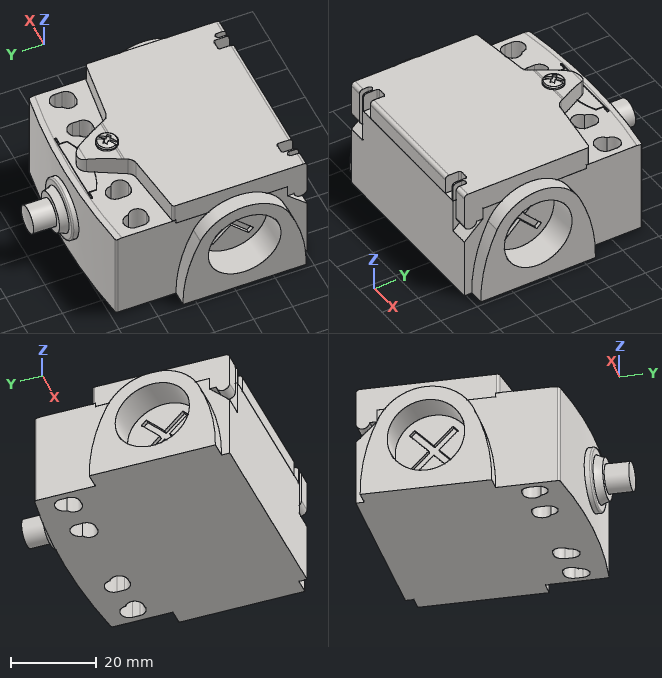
import cadquery as cq
import math


HALF_WIDTH = 25.0
REAR_CORNER_Y = 49.0
REAR_MIDDLE_Y = 51.0
REAR_CORNER_RADIUS = 0.6
DECK_Z = 25.0
REAR_BEVEL_DEPTH = 1.5
REAR_BEVEL_DROP = 0.25

HOLE_DIAMETER = 4.4
HOLE_POSITIONS_X = (11.05, 21.1)
HOLE_Y = 41.2
HOLE_RISE = 1.85
HOLE_SHIFT = 1.1

RECESS_DEPTH = 0.2
RECESS_BAR_HALF = 10.45
RECESS_HALF = 8.45
RECESS_BACK_Y = 48.85
RECESS_BAR_Y = 48.45
RECESS_SIDE_Y = 46.55
RECESS_FRONT_Y = 44.4

BOSS_LENGTH = 4.0
BOSS_Y = 17.85
BOSS_HALF_BASE = 15.8
BORE_Z = 13.8
BORE_RADIUS = 9.3
BORE_DEPTH = 8.0
BOSS_TOP_RADIUS = 12.8
BOSS_TOP_END_ANGLE = math.radians(27.6)
BOSS_FLANK_HALF = 14.6
BOSS_FLANK_Z = 10.7
CROSS_LENGTH = 14.7
CROSS_WIDTH = 1.75
CROSS_DEPTH = 1.0

PLUNGER_Z = 12.55
PLUNGER_RADIUS = 3.6
PLUNGER_SHOULDER_Y = 60.5
PLUNGER_TIP_Y = 60.94
FLANGE_RADIUS = 7.8
FLANGE_ROOT_Y = 50.0
FLANGE_Y = 52.5
FLANGE_FILLET = 0.4
BOOT_BASE_RADIUS = 5.95
BOOT_MIDDLE = (5.5, 53.5)
BOOT_END_RADIUS = 5.2
BOOT_END_Y = 54.6

COVER_Z = 30.0
COVER_FRONT_FILLET = 1.0
COVER_SIDE_Y = 34.45
COVER_INNER_X = 7.45
COVER_INNER_Y = 36.7
COVER_CORNER_RADIUS = 0.7
COVER_INNER_RADIUS = 2.5
TONGUE_TIP_RADIUS = 2.6
TONGUE_TIP_Y = 47.75
SLOPE_BEVEL_Y = 38.55
SLOPE_START_Y = 39.0
SLOPE_BEVEL_DROP = 0.05
SLOPE_MIDDLE = (43.4, 29.75)
SLOPE_END = (46.5, 29.2)
TONGUE_TIP_Z = 28.55

LIP_WIDTH = 5.0
LIP_Z = 24.0
LIP_END_Y = 33.65
LEG_LENGTH = 5.1
LEG_Z = 20.9
BEAD_LENGTH = 3.4
BEAD_Z = 19.4
NOTCH_FRONT_Z = 16.1

LEG_SLOT_OUTER_X = 21.4
LEG_SLOT_INNER_X = HALF_WIDTH - LIP_WIDTH
LEG_SLOT_LENGTH = 3.1
POCKET_OUTER_X = 19.6
POCKET_INNER_X = 16.6
POCKET_LENGTH = 4.15
POCKET_CORNER_RADIUS = 0.5

SCREW_Y = 40.1
SCREW_RADIUS = 2.7
SCREW_ROOT_Z = 29.0
SCREW_RIM_Z = 30.4
SCREW_CROWN_RADIUS = 2.45
SCREW_CROWN_RIM_Z = 30.75
SCREW_CROWN_Z = 31.39
SCREW_SLOT_WIDTH = 1.0
SCREW_CROSS_LENGTH = 2.8
SCREW_SLOT_Z = 30.5

SIDES = (-1, 1)
SLOT_ANGLES = (45, -45)


def block(x0, x1, y0, y1, z0, z1):
    return cq.Workplane("XY").box(x1 - x0, y1 - y0, z1 - z0, centered=False).translate((x0, y0, z0))


def housing_block():
    """Main block with a bowed rear face; its deck falls away gently along the rear edge."""
    body = (
        cq.Workplane("XY")
        .moveTo(-HALF_WIDTH, 0)
        .lineTo(HALF_WIDTH, 0)
        .lineTo(HALF_WIDTH, REAR_CORNER_Y)
        .threePointArc((0, REAR_MIDDLE_Y), (-HALF_WIDTH, REAR_CORNER_Y))
        .close()
        .extrude(DECK_Z)
    )
    body = body.faces(">Z").edges(">Y").chamfer(REAR_BEVEL_DROP, REAR_BEVEL_DEPTH)
    return body.edges("|Z").edges(">Y").fillet(REAR_CORNER_RADIUS)


def side_seats():
    """Room at both sides for the cover's lips and legs, with a sloped floor under each leg."""
    profile = [
        (0, DECK_Z),
        (LIP_END_Y, DECK_Z),
        (LIP_END_Y, LIP_Z),
        (LEG_LENGTH, LIP_Z),
        (LEG_LENGTH, LEG_Z),
        (0, NOTCH_FRONT_Z),
    ]
    seat = cq.Workplane("YZ", origin=(HALF_WIDTH - LIP_WIDTH, 0, 0))
    seat = seat.polyline(profile).close().extrude(LIP_WIDTH)
    return seat.union(seat.mirror("YZ"))


def mounting_hole(x, side):
    """L-shaped hole whose level arm points to the middle of the housing."""
    upright = cq.Workplane("XY").center(x, HOLE_Y + HOLE_RISE / 2)
    upright = upright.slot2D(HOLE_DIAMETER + HOLE_RISE, HOLE_DIAMETER, 90).extrude(DECK_Z)
    level = cq.Workplane("XY").center(x - side * HOLE_SHIFT / 2, HOLE_Y)
    level = level.slot2D(HOLE_DIAMETER + HOLE_SHIFT, HOLE_DIAMETER).extrude(DECK_Z)
    return upright.union(level)


def deck_recess():
    return (
        cq.Workplane("XY", origin=(0, 0, DECK_Z - RECESS_DEPTH))
        .moveTo(-RECESS_BAR_HALF, RECESS_BACK_Y)
        .lineTo(RECESS_BAR_HALF, RECESS_BACK_Y)
        .lineTo(RECESS_BAR_HALF, RECESS_BAR_Y)
        .lineTo(RECESS_HALF, RECESS_BAR_Y)
        .lineTo(RECESS_HALF, RECESS_SIDE_Y)
        .threePointArc((0, RECESS_FRONT_Y), (-RECESS_HALF, RECESS_SIDE_Y))
        .lineTo(-RECESS_HALF, RECESS_BAR_Y)
        .lineTo(-RECESS_BAR_HALF, RECESS_BAR_Y)
        .close()
        .extrude(DECK_Z)
    )


def conduit_boss():
    """Arched boss on the +X side: a crown about the bore axis, then flanks that steepen to the base."""
    crown_half = BOSS_TOP_RADIUS * math.cos(BOSS_TOP_END_ANGLE)
    crown_z = BORE_Z + BOSS_TOP_RADIUS * math.sin(BOSS_TOP_END_ANGLE)
    return (
        cq.Workplane("YZ", origin=(HALF_WIDTH, BOSS_Y, 0))
        .moveTo(-BOSS_HALF_BASE, 0)
        .lineTo(BOSS_HALF_BASE, 0)
        .threePointArc((BOSS_FLANK_HALF, BOSS_FLANK_Z), (crown_half, crown_z))
        .threePointArc((0, BORE_Z + BOSS_TOP_RADIUS), (-crown_half, crown_z))
        .threePointArc((-BOSS_FLANK_HALF, BOSS_FLANK_Z), (-BOSS_HALF_BASE, 0))
        .close()
        .extrude(BOSS_LENGTH)
    )


def conduit_bore():
    """Blind bore into the +X boss, with a diagonal cross sunk into its floor."""
    floor_x = HALF_WIDTH + BOSS_LENGTH - BORE_DEPTH
    axis = cq.Workplane("YZ", origin=(floor_x, BOSS_Y, BORE_Z))
    bore = axis.circle(BORE_RADIUS).extrude(BORE_DEPTH)
    for angle in SLOT_ANGLES:
        arm = axis.transformed(rotate=(0, 0, angle)).rect(CROSS_LENGTH, CROSS_WIDTH)
        bore = bore.union(arm.extrude(-CROSS_DEPTH))
    return bore


def crown_middle(radius, rim, top):
    """Point halfway along the arc of a crown that rises from `rim` at `radius` to `top` on the axis."""
    rise = top - rim
    sphere_radius = (radius**2 + rise**2) / (2 * rise)
    half_angle = math.asin(radius / sphere_radius) / 2
    return (sphere_radius * math.sin(half_angle), top - sphere_radius * (1 - math.cos(half_angle)))


def plunger():
    """Flange, concave boot and round-ended plunger turned about one Y axis."""
    tip_middle = crown_middle(PLUNGER_RADIUS, PLUNGER_SHOULDER_Y, PLUNGER_TIP_Y)
    return (
        cq.Workplane("XY", origin=(0, 0, PLUNGER_Z))
        .moveTo(0, FLANGE_ROOT_Y)
        .lineTo(FLANGE_RADIUS, FLANGE_ROOT_Y)
        .lineTo(FLANGE_RADIUS, FLANGE_Y - FLANGE_FILLET)
        .radiusArc((FLANGE_RADIUS - FLANGE_FILLET, FLANGE_Y), -FLANGE_FILLET)
        .lineTo(BOOT_BASE_RADIUS, FLANGE_Y)
        .threePointArc(BOOT_MIDDLE, (BOOT_END_RADIUS, BOOT_END_Y))
        .lineTo(PLUNGER_RADIUS, BOOT_END_Y)
        .lineTo(PLUNGER_RADIUS, PLUNGER_SHOULDER_Y)
        .threePointArc(tip_middle, (0, PLUNGER_TIP_Y))
        .close()
        .revolve(360, (0, 0, 0), (0, 1, 0))
    )


def make_housing():
    body = housing_block().cut(side_seats()).cut(deck_recess())
    for side in SIDES:
        for x in HOLE_POSITIONS_X:
            body = body.cut(mounting_hole(side * x, side))
    boss = conduit_boss()
    bore = conduit_bore()
    body = body.union(boss).union(boss.mirror("YZ"))
    body = body.cut(bore).cut(bore.mirror("YZ"))
    return body.union(plunger())


def cover_plate():
    """Plate with sloping rear edges that meet in a round-tipped tongue under the screw."""
    tip_y = TONGUE_TIP_Y - TONGUE_TIP_RADIUS
    to_corner = math.hypot(COVER_INNER_X, tip_y - COVER_INNER_Y)
    corner_angle = math.atan2(tip_y - COVER_INNER_Y, COVER_INNER_X)
    tangent_angle = math.acos(TONGUE_TIP_RADIUS / to_corner) - corner_angle
    tip_x = TONGUE_TIP_RADIUS * math.cos(tangent_angle)
    tip_side_y = tip_y + TONGUE_TIP_RADIUS * math.sin(tangent_angle)
    plate = (
        cq.Workplane("XY", origin=(0, 0, DECK_Z))
        .moveTo(-HALF_WIDTH, 0)
        .lineTo(HALF_WIDTH, 0)
        .lineTo(HALF_WIDTH, COVER_SIDE_Y)
        .lineTo(COVER_INNER_X, COVER_INNER_Y)
        .lineTo(tip_x, tip_side_y)
        .threePointArc((0, TONGUE_TIP_Y), (-tip_x, tip_side_y))
        .lineTo(-COVER_INNER_X, COVER_INNER_Y)
        .lineTo(-HALF_WIDTH, COVER_SIDE_Y)
        .close()
        .extrude(COVER_Z - DECK_Z)
    )
    for side in SIDES:
        corner = cq.selectors.NearestToPointSelector((side * HALF_WIDTH, COVER_SIDE_Y, DECK_Z))
        plate = plate.edges("|Z").edges(corner).fillet(COVER_CORNER_RADIUS)
        inner = cq.selectors.NearestToPointSelector((side * COVER_INNER_X, COVER_INNER_Y, DECK_Z))
        plate = plate.edges("|Z").edges(inner).fillet(COVER_INNER_RADIUS)
    return plate


def tongue_slope():
    """Material above the tongue: a fine bevel, a long curve down and a steeper nose."""
    slope_start_z = COVER_Z - SLOPE_BEVEL_DROP
    return (
        cq.Workplane("YZ")
        .moveTo(SLOPE_BEVEL_Y, COVER_Z)
        .lineTo(SLOPE_START_Y, slope_start_z)
        .threePointArc(SLOPE_MIDDLE, SLOPE_END)
        .lineTo(TONGUE_TIP_Y, TONGUE_TIP_Z)
        .lineTo(TONGUE_TIP_Y, COVER_Z)
        .close()
        .extrude(HALF_WIDTH, both=True)
    )


def side_lip():
    """Lip and round-ended leg that hang from the cover at the +X side."""
    bead_middle_y = BEAD_LENGTH / 2
    return (
        cq.Workplane("YZ", origin=(HALF_WIDTH - LIP_WIDTH, 0, 0))
        .moveTo(0, DECK_Z)
        .lineTo(LIP_END_Y, DECK_Z)
        .lineTo(LIP_END_Y, LIP_Z)
        .lineTo(LEG_LENGTH, LIP_Z)
        .lineTo(LEG_LENGTH, LEG_Z)
        .lineTo(BEAD_LENGTH, LEG_Z)
        .threePointArc((bead_middle_y, BEAD_Z), (0, LEG_Z))
        .close()
        .extrude(LIP_WIDTH)
    )


def leg_slot():
    """Round-ended slot that frees the +X leg from the middle of the cover."""
    radius = (LEG_SLOT_OUTER_X - LEG_SLOT_INNER_X) / 2
    middle_x = LEG_SLOT_INNER_X + radius
    straight = block(LEG_SLOT_INNER_X, LEG_SLOT_OUTER_X, 0, LEG_SLOT_LENGTH - radius, BEAD_Z, COVER_Z)
    end = cq.Workplane("XY", origin=(middle_x, LEG_SLOT_LENGTH - radius, BEAD_Z))
    return straight.union(end.circle(radius).extrude(COVER_Z - BEAD_Z))


def front_pocket():
    """Window through the +X half of the cover's front edge, open down to the deck."""
    pocket = block(POCKET_INNER_X, POCKET_OUTER_X, 0, POCKET_LENGTH, DECK_Z, COVER_Z)
    return pocket.edges("|Z and >Y").fillet(POCKET_CORNER_RADIUS)


def screw_head():
    """Low domed head with a bevelled rim and a full-length slot crossed by a short one."""
    crown = crown_middle(SCREW_CROWN_RADIUS, SCREW_CROWN_RIM_Z, SCREW_CROWN_Z)
    head = (
        cq.Workplane("XZ")
        .moveTo(0, SCREW_ROOT_Z)
        .lineTo(SCREW_RADIUS, SCREW_ROOT_Z)
        .lineTo(SCREW_RADIUS, SCREW_RIM_Z)
        .lineTo(SCREW_CROWN_RADIUS, SCREW_CROWN_RIM_Z)
        .threePointArc(crown, (0, SCREW_CROWN_Z))
        .close()
        .revolve(360, (0, 0, 0), (0, 1, 0))
    )
    slot_floor = cq.Workplane("XY", origin=(0, 0, SCREW_SLOT_Z))
    for length, angle in zip((2 * SCREW_RADIUS, SCREW_CROSS_LENGTH), SLOT_ANGLES):
        slot = slot_floor.transformed(rotate=(0, 0, angle)).rect(length, SCREW_SLOT_WIDTH)
        head = head.cut(slot.extrude(SCREW_CROWN_Z - SCREW_SLOT_Z))
    return head.translate((0, SCREW_Y, 0))


def make_cover():
    cover = cover_plate().cut(tongue_slope())
    lip = side_lip()
    cover = cover.union(lip).union(lip.mirror("YZ"))
    cover = cover.faces(">Z").edges("<Y").fillet(COVER_FRONT_FILLET)
    cutouts = leg_slot().union(front_pocket())
    cover = cover.cut(cutouts).cut(cutouts.mirror("YZ"))
    return cover.union(screw_head())


housing = make_housing()
cover = make_cover()
result = cq.Compound.makeCompound([housing.val(), cover.val()])